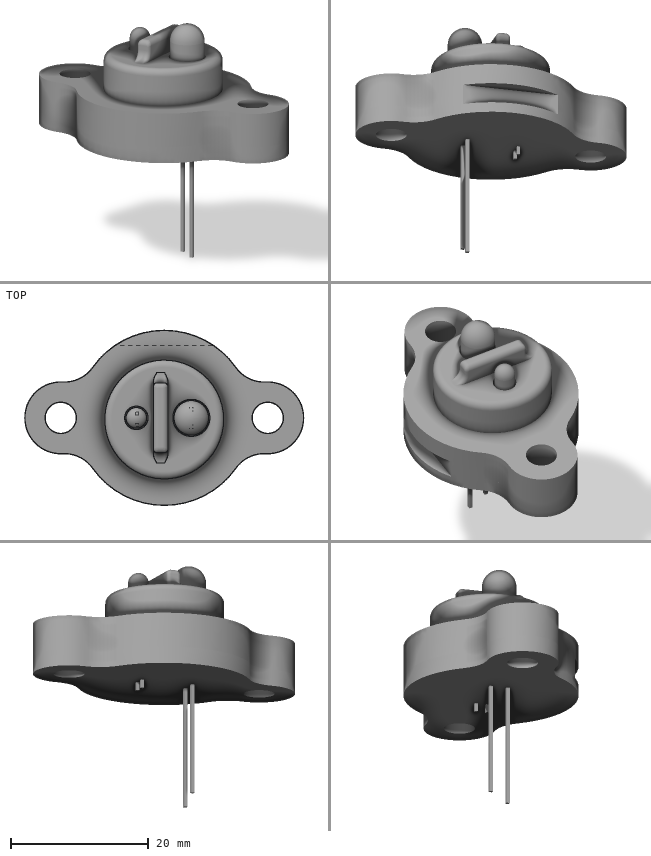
import cadquery as cq
import math

LENGTH = 40.45

DISC_R = 12.7
EAR_X = 15.0
EAR_R = LENGTH / 2 - EAR_X
NECK_R = 5.0
SCREW_HOLE_D = 4.5

BASE_TOP = 2.43
FLANGE_TOP = 7.5
CAP_TOP = 12.95

CAP_D = 17.25
CAP_Y = -0.25
CAP_ROUND = 1.0

SLOT_BOTTOM = 1.5
SLOT_TOP = 4.5
SLOT_WALL_Y = 10.5

LARGE_LED_X = 3.92
LARGE_LED_D = 5.0
LARGE_LED_HOLE_D = 5.4
LARGE_DOME_Z = 15.37
LARGE_LEAD_SIZE = 0.53
LARGE_LEAD_PITCH = 2.55
LONG_LEAD_END = -17.72
SHORT_LEAD_END = -16.2

SMALL_LED_X = -4.05
SMALL_LED_D = 3.0
SMALL_LED_HOLE_D = 3.4
SMALL_DOME_Z = 14.65
SMALL_LEAD_SIZE = 0.45
SMALL_LEAD_X = -3.92
SMALL_LEAD_PITCH = 1.7
SMALL_LEAD_MID_Y = -0.2
SMALL_LEAD_END = -1.2

LED_SEAT = FLANGE_TOP

FIN_X = -0.53
FIN_WIDTH = 2.1
FIN_HALF_LENGTH = 5.05
FIN_TOP = 16.0
FIN_FLARE_R = 1.5
FIN_SIDE_ROUND = 0.5
FIN_TOP_ROUND = 0.75
FIN_STOCK = 1.2

large_leads_at = [
    (LARGE_LED_X, LARGE_LEAD_PITCH / 2, LONG_LEAD_END),
    (LARGE_LED_X, -LARGE_LEAD_PITCH / 2, SHORT_LEAD_END),
]
small_leads_at = [
    (SMALL_LEAD_X, SMALL_LEAD_MID_Y + side * SMALL_LEAD_PITCH / 2, SMALL_LEAD_END)
    for side in (1, -1)
]


def make_lead(x, y, end_z, size):
    """Square lead from its lower end up to the LED seat."""
    return (
        cq.Workplane("XY", origin=(x, y, end_z))
        .rect(size, size)
        .extrude(LED_SEAT - end_z)
    )


def make_leads(places, size):
    return [make_lead(x, y, end_z, size) for x, y, end_z in places]


large_leads = make_leads(large_leads_at, LARGE_LEAD_SIZE)
small_leads = make_leads(small_leads_at, SMALL_LEAD_SIZE)


def make_flange(bottom, top):
    """Disc with two ears, blended by concave neck arcs, with a screw hole in each ear."""
    to_disc = DISC_R + NECK_R
    to_ear = EAR_R + NECK_R
    neck_x = (to_disc**2 - to_ear**2 + EAR_X**2) / (2 * EAR_X)
    neck_y = math.sqrt(to_disc**2 - neck_x**2)

    disc_x = neck_x * DISC_R / to_disc
    disc_y = neck_y * DISC_R / to_disc
    ear_x = EAR_X + (neck_x - EAR_X) * EAR_R / to_ear
    ear_y = neck_y * EAR_R / to_ear
    chord_x = (disc_x + ear_x) / 2 - neck_x
    chord_y = (disc_y + ear_y) / 2 - neck_y
    reach = NECK_R / math.hypot(chord_x, chord_y)
    mid_x = neck_x + chord_x * reach
    mid_y = neck_y + chord_y * reach

    ear_tip = EAR_X + EAR_R
    return (
        cq.Workplane("XY", origin=(0, 0, bottom))
        .moveTo(-disc_x, disc_y)
        .threePointArc((0, DISC_R), (disc_x, disc_y))
        .threePointArc((mid_x, mid_y), (ear_x, ear_y))
        .threePointArc((ear_tip, 0), (ear_x, -ear_y))
        .threePointArc((mid_x, -mid_y), (disc_x, -disc_y))
        .threePointArc((0, -DISC_R), (-disc_x, -disc_y))
        .threePointArc((-mid_x, -mid_y), (-ear_x, -ear_y))
        .threePointArc((-ear_tip, 0), (-ear_x, ear_y))
        .threePointArc((-mid_x, mid_y), (-disc_x, disc_y))
        .close()
        .extrude(top - bottom)
        .faces(">Z")
        .workplane(origin=(0, 0, top))
        .pushPoints([(-EAR_X, 0), (EAR_X, 0)])
        .hole(SCREW_HOLE_D)
    )


def make_rear_slot():
    """Straight slot along X that opens to the rear of the flange."""
    return (
        cq.Workplane("XY", origin=(0, SLOT_WALL_Y, SLOT_BOTTOM))
        .box(LENGTH, DISC_R, SLOT_TOP - SLOT_BOTTOM, centered=(True, False, False))
    )


def cut_lead_holes(body):
    """Holes that match the leads running through the body."""
    for lead in large_leads + small_leads:
        body = body.cut(lead)
    return body


def make_base():
    base = make_flange(0, BASE_TOP).cut(make_rear_slot())
    return cut_lead_holes(base)


def make_housing():
    cap = (
        cq.Workplane("XY", origin=(0, CAP_Y, BASE_TOP))
        .circle(CAP_D / 2)
        .extrude(CAP_TOP - BASE_TOP)
        .faces(">Z")
        .edges()
        .fillet(CAP_ROUND)
    )
    housing = make_flange(BASE_TOP, FLANGE_TOP).union(cap).cut(make_rear_slot())

    for x, diameter in ((LARGE_LED_X, LARGE_LED_HOLE_D), (SMALL_LED_X, SMALL_LED_HOLE_D)):
        hole = (
            cq.Workplane("XY", origin=(x, 0, LED_SEAT))
            .circle(diameter / 2)
            .extrude(CAP_TOP - LED_SEAT)
        )
        housing = housing.cut(hole)
    return cut_lead_holes(housing)


def make_led(x, diameter, dome_z):
    """Upright cylinder with a hemispherical dome of the same diameter."""
    radius = diameter / 2
    stem = cq.Workplane("XY", origin=(x, 0, LED_SEAT)).circle(radius).extrude(dome_z - LED_SEAT)
    dome = (
        cq.Workplane("XZ", origin=(x, 0, dome_z))
        .lineTo(radius, 0)
        .radiusArc((0, radius), -radius)
        .close()
        .revolve(360, (0, 0), (0, 1))
    )
    return stem.union(dome)


def make_small_led():
    led = make_led(SMALL_LED_X, SMALL_LED_D, SMALL_DOME_Z)
    for lead in small_leads:
        led = led.union(lead)
    return led


def make_fin():
    """Rounded wall whose two ends flare out onto the top of the cap."""
    foot_y = FIN_HALF_LENGTH + FIN_FLARE_R
    stock_y = foot_y + FIN_STOCK
    stock_bottom = CAP_TOP - FIN_STOCK
    flare_top = CAP_TOP + FIN_FLARE_R
    fin = (
        cq.Workplane("YZ", origin=(FIN_X - FIN_WIDTH / 2, 0, 0))
        .moveTo(-stock_y, stock_bottom)
        .lineTo(stock_y, stock_bottom)
        .lineTo(stock_y, CAP_TOP)
        .lineTo(foot_y, CAP_TOP)
        .radiusArc((FIN_HALF_LENGTH, flare_top), FIN_FLARE_R)
        .lineTo(FIN_HALF_LENGTH, FIN_TOP)
        .lineTo(-FIN_HALF_LENGTH, FIN_TOP)
        .lineTo(-FIN_HALF_LENGTH, flare_top)
        .radiusArc((-foot_y, CAP_TOP), FIN_FLARE_R)
        .lineTo(-stock_y, CAP_TOP)
        .close()
        .extrude(FIN_WIDTH)
    )
    upright = cq.selectors.BoxSelector(
        (FIN_X - FIN_WIDTH, -stock_y, flare_top),
        (FIN_X + FIN_WIDTH, stock_y, FIN_TOP - FIN_TOP_ROUND / 2),
    )
    fin = fin.edges("|Z").edges(upright).fillet(FIN_SIDE_ROUND)
    fin = fin.faces(">Z").edges().fillet(FIN_TOP_ROUND)

    stock = cq.Workplane("XY", origin=(FIN_X, 0, stock_bottom)).rect(2 * FIN_WIDTH, 2 * stock_y)
    return fin.cut(stock.extrude(FIN_STOCK))


base = make_base()
housing = make_housing()
fin = make_fin()
large_led = make_led(LARGE_LED_X, LARGE_LED_D, LARGE_DOME_Z)
small_led = make_small_led()

result = cq.Compound.makeCompound([
    base.val(),
    housing.val(),
    fin.val(),
    large_led.val(),
    small_led.val(),
    *[lead.val() for lead in large_leads],
])